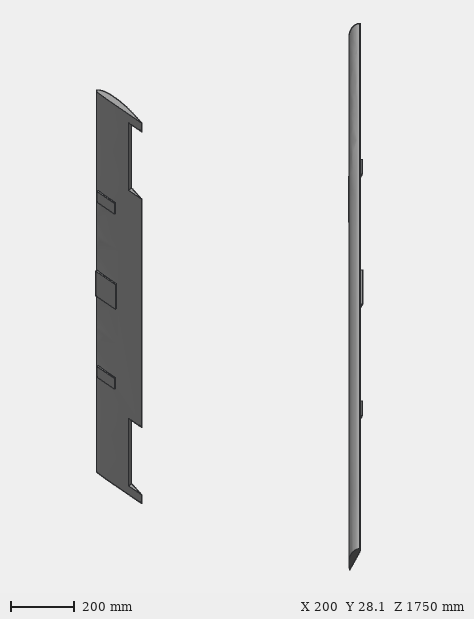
import cadquery as cq

SPAN = 1750.0
CHORD = 200.0

NOSE = (0, 3.5)
UPPER_SURFACE = [(1.2, 5.4), (5, 7.9), (10, 9.6), (20, 11.4), (30, 11.7), (40, 11.4),
                 (60, 9.2), (80, 5.2), (100, 0.3)]
LOWER_SURFACE = [(1.2, 1.9), (5, 0.93), (10, 0.42), (20, 0.03), (30, 0), (50, 0), (75, 0), (100, 0)]

CUTOUT_FRONT = 144.0
CUTOUT_INNER = 525.0
CUTOUT_OUTER = 835.0
CUTOUT_DEPTH = 70.0

PAD_HEIGHT = 4.7
PAD_EMBED = 7.0
CENTER_PAD_START = 7.0
CENTER_PAD_END = 91.0
CENTER_PAD_SPAN = 114.0
SIDE_PAD_START = 12.0
SIDE_PAD_END = 88.0
SIDE_PAD_SPAN = 49.0
SIDE_PAD_OFFSET = 402.0


def section_point(station):
    """Turn a percent-of-chord station into a point of the section."""
    return tuple(value * CHORD / 100 for value in station)


def make_wing():
    nose = section_point(NOSE)
    upper = [nose] + [section_point(station) for station in UPPER_SURFACE]
    lower = [nose] + [section_point(station) for station in LOWER_SURFACE]
    return (
        cq.Workplane("XY", origin=(0, 0, -SPAN / 2))
        .spline(upper)
        .lineTo(*lower[-1])
        .spline(lower[::-1])
        .close()
        .extrude(SPAN)
    )


def make_cutout(side):
    length = CHORD - CUTOUT_FRONT
    middle = side * (CUTOUT_INNER + CUTOUT_OUTER) / 2
    return (
        cq.Workplane("XY")
        .box(length, CUTOUT_DEPTH, CUTOUT_OUTER - CUTOUT_INNER)
        .translate((CUTOUT_FRONT + length / 2, 0, middle))
    )


def make_pad(start, end, span, middle):
    return (
        cq.Workplane("XY")
        .box(end - start, PAD_HEIGHT + PAD_EMBED, span, centered=(False, False, True))
        .translate((start, -PAD_HEIGHT, middle))
    )


result = make_wing()
result = result.union(make_pad(CENTER_PAD_START, CENTER_PAD_END, CENTER_PAD_SPAN, 0))
for side in (-1, 1):
    result = result.cut(make_cutout(side))
    result = result.union(make_pad(SIDE_PAD_START, SIDE_PAD_END, SIDE_PAD_SPAN, side * SIDE_PAD_OFFSET))